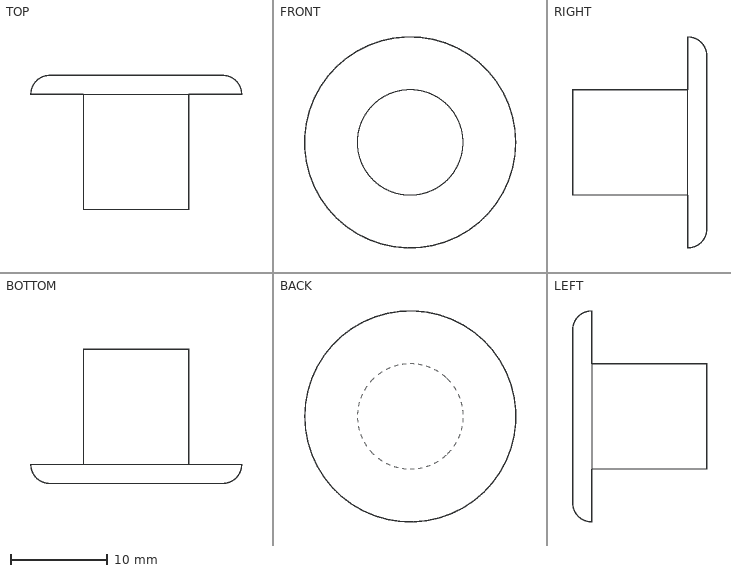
import cadquery as cq
import math

head_diameter = 22.0
stem_diameter = head_diameter / 2
total_length = 14.0
head_thickness = 2.0

head_radius = head_diameter / 2
stem_radius = stem_diameter / 2
stem_length = total_length - head_thickness
flat_radius = head_radius - head_thickness

rim_mid_offset = head_thickness * math.cos(math.radians(45))
rim_mid = (flat_radius + rim_mid_offset, rim_mid_offset)

half_section = (
    cq.Workplane("XY")
    .moveTo(0, -stem_length)
    .lineTo(stem_radius, -stem_length)
    .lineTo(stem_radius, 0)
    .lineTo(head_radius, 0)
    .threePointArc(rim_mid, (flat_radius, head_thickness))
    .lineTo(0, head_thickness)
    .close()
)

result = half_section.revolve(360, (0, 0, 0), (0, 1, 0))